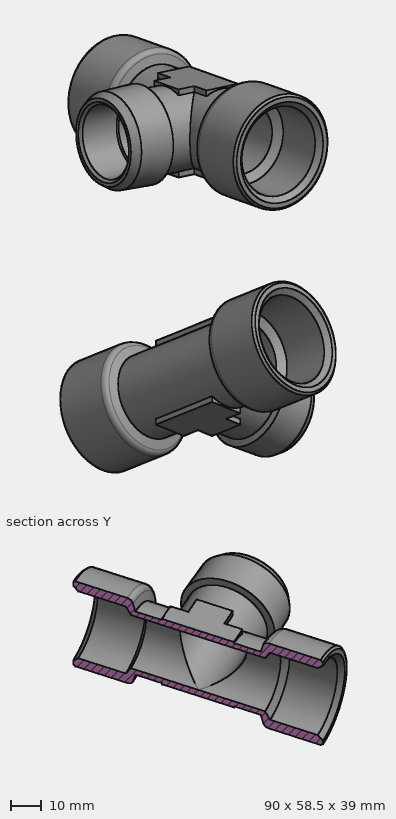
import cadquery as cq
import math


run_length = 90.0
half_run = run_length / 2
branch_reach = 39.0
tube_radius = 29.0 / 2
bore_radius = 24.0 / 2

socket_radius = 39.0 / 2
socket_length = 22.5
socket_rim_chamfer = 0.8
shoulder_slope_angle = 15.0
shoulder_fillet_radius = 2.2
socket_bore_radius = 30.29 / 2
socket_bore_depth = 19.0
socket_mouth_radius = 17.0
socket_mouth_depth = socket_mouth_radius - socket_bore_radius
socket_cone_angle = 30.0
socket_cone_length = (socket_bore_radius - bore_radius) * math.tan(math.radians(socket_cone_angle))

thread_shoulder_start = 22.7
thread_start = 23.2
thread_chamfer_start = 36.0
thread_taper_ratio = 1 / 16
thread_outer_radius = 16.5
thread_taper_length = thread_chamfer_start - thread_start
thread_inner_radius = thread_outer_radius + thread_taper_length * thread_taper_ratio / 2
branch_tip_radius = 14.75
branch_bore_radius = 25.0 / 2
branch_bore_depth = 15.0
branch_cone_length = branch_bore_radius - bore_radius
branch_mouth_radius = 13.5
branch_mouth_depth = branch_mouth_radius - branch_bore_radius

pad_height = 15.0
pad_half_length = 13.0
pad_half_width = 6.5
pad_stem_half_width = 6.5
pad_stem_reach = 13.0


def revolve_about_x(points):
    return cq.Workplane("XY").polyline(points).close().revolve(360, (0, 0, 0), (1, 0, 0))


def revolve_about_y(points):
    return cq.Workplane("XY").polyline(points).close().revolve(360, (0, 0, 0), (0, 1, 0))


def make_socket_body():
    """+X socket: cylinder with a chamfered rim and a rounded, sloping shoulder."""
    foot = half_run - socket_length
    slope = math.radians(shoulder_slope_angle)
    corner = foot + (socket_radius - tube_radius) * math.tan(slope)
    fillet_center = corner + shoulder_fillet_radius * math.tan((math.pi / 2 - slope) / 2)
    fillet_center_radius = socket_radius - shoulder_fillet_radius

    def fillet_point(angle):
        return (
            fillet_center - shoulder_fillet_radius * math.cos(angle),
            fillet_center_radius + shoulder_fillet_radius * math.sin(angle),
        )

    profile = (
        cq.Workplane("XY")
        .moveTo(foot, 0)
        .lineTo(foot, tube_radius)
        .lineTo(*fillet_point(slope))
        .threePointArc(fillet_point((slope + math.pi / 2) / 2), fillet_point(math.pi / 2))
        .lineTo(half_run - socket_rim_chamfer, socket_radius)
        .lineTo(half_run, socket_radius - socket_rim_chamfer)
        .lineTo(half_run, 0)
        .close()
    )
    return profile.revolve(360, (0, 0, 0), (1, 0, 0))


def make_socket_bore():
    """+X socket bore: countersunk mouth, thread bore and a cone down to the run bore."""
    bore_end = half_run - socket_bore_depth
    return revolve_about_x([
        (bore_end - socket_cone_length, 0),
        (bore_end - socket_cone_length, bore_radius),
        (bore_end, socket_bore_radius),
        (half_run - socket_mouth_depth, socket_bore_radius),
        (half_run, socket_mouth_radius),
        (half_run, 0),
    ])


def make_branch_body():
    """Branch tube with the tapered male thread envelope and a chamfered tip."""
    return revolve_about_y([
        (0, 0),
        (tube_radius, 0),
        (tube_radius, -thread_shoulder_start),
        (thread_inner_radius, -thread_start),
        (thread_outer_radius, -thread_chamfer_start),
        (branch_tip_radius, -branch_reach),
        (0, -branch_reach),
    ])


def make_branch_bore():
    """Branch bore: wider outer part with a countersunk mouth, narrowing to the run bore."""
    bore_end = branch_reach - branch_bore_depth
    return revolve_about_y([
        (0, 0),
        (bore_radius, 0),
        (bore_radius, -bore_end + branch_cone_length),
        (branch_bore_radius, -bore_end),
        (branch_bore_radius, -branch_reach + branch_mouth_depth),
        (branch_mouth_radius, -branch_reach),
        (0, -branch_reach),
    ])


def make_pads():
    """T-shaped block through the crossing, leaving a flat pad above and one below."""
    return (
        cq.Workplane("XY")
        .workplane(offset=-pad_height)
        .moveTo(-pad_half_length, pad_half_width)
        .lineTo(pad_half_length, pad_half_width)
        .lineTo(pad_half_length, -pad_half_width)
        .lineTo(pad_stem_half_width, -pad_half_width)
        .lineTo(pad_stem_half_width, -pad_stem_reach)
        .lineTo(-pad_stem_half_width, -pad_stem_reach)
        .lineTo(-pad_stem_half_width, -pad_half_width)
        .lineTo(-pad_half_length, -pad_half_width)
        .close()
        .extrude(2 * pad_height)
    )


def along_run(radius):
    """Cylinder along the whole run."""
    return cq.Workplane("YZ").circle(radius).extrude(half_run, both=True)


socket_body = make_socket_body()
socket_bore = make_socket_bore()

result = along_run(tube_radius).union(make_branch_body()).union(make_pads())
for socket in (socket_body, socket_body.mirror("YZ")):
    result = result.union(socket)

result = result.cut(along_run(bore_radius).union(make_branch_bore()))
for bore in (socket_bore, socket_bore.mirror("YZ")):
    result = result.cut(bore)